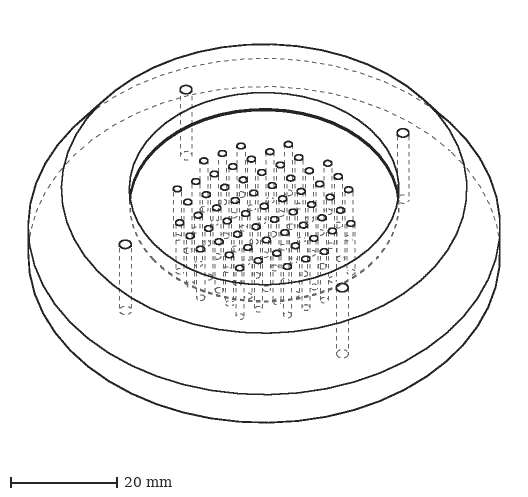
import cadquery as cq

base_diameter = 88.9
top_diameter = 76.4
total_height = 17.7
base_height = 7.6

recess_diameter = 50.8
recess_depth = 4.7
step_width = 0.1
step_depth = 0.4

rim_hole_diameter = 2.2
rim_hole_circle_diameter = 60.0
rim_hole_count = 4

vent_diameter = 1.5
vent_pitch = 4.0
vent_field_radius = 17.3


def make_body():
    base_radius = base_diameter / 2
    top_radius = top_diameter / 2
    profile = [
        (0, 0),
        (base_radius, 0),
        (base_radius, base_height),
        (top_radius, total_height),
        (0, total_height),
    ]
    return cq.Workplane("XZ").polyline(profile).close().revolve(360, (0, 0), (0, 1))


def make_recess():
    """Cutter for the recess."""
    upper_depth = recess_depth - step_depth
    lower_diameter = recess_diameter - 2 * step_width
    top_plane = cq.Workplane("XY").workplane(offset=total_height)
    upper = top_plane.circle(recess_diameter / 2).extrude(-upper_depth)
    lower = top_plane.circle(lower_diameter / 2).extrude(-recess_depth)
    return upper.union(lower)


def make_rim_holes():
    """Cutters for the rim holes, on the X and Y axes."""
    circle_radius = rim_hole_circle_diameter / 2
    return (
        cq.Workplane("XY")
        .polarArray(circle_radius, 0, 360, rim_hole_count)
        .circle(rim_hole_diameter / 2)
        .extrude(total_height)
    )


def vent_centers():
    """Grid points, centred on the axis, that lie inside the vent field."""
    reach = int(vent_field_radius // vent_pitch)
    steps = range(-reach, reach + 1)
    grid = [(column * vent_pitch, row * vent_pitch) for column in steps for row in steps]
    return [(x, y) for x, y in grid if x**2 + y**2 <= vent_field_radius**2]


def make_vents():
    """Cutters for the vent holes."""
    return cq.Workplane("XY").pushPoints(vent_centers()).circle(vent_diameter / 2).extrude(total_height)


result = make_body().cut(make_recess()).cut(make_rim_holes()).cut(make_vents())